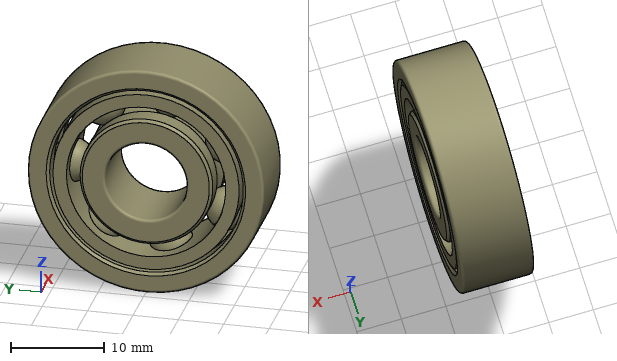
import cadquery as cq

outer_diameter = 26.0
bore_diameter = 9.0
width = 8.0

outer_ring_inner_radius = 10.65
inner_ring_outer_radius = 7.3
mounting_fillet = 0.3
shoulder_chamfer = 0.3

ball_count = 7
ball_radius = 2.4
pitch_radius = (outer_ring_inner_radius + inner_ring_outer_radius) / 2

cage_inner_radius = 8.75
cage_outer_radius = 10.25
cage_width = 7.8


def tube(outer_radius, inner_radius, length):
    """A hollow cylinder along X, centred on the origin."""
    return (
        cq.Workplane("YZ", origin=(-length / 2, 0, 0))
        .circle(outer_radius)
        .circle(inner_radius)
        .extrude(length)
    )


def raceway():
    """The torus that the balls sweep, which leaves a ball groove in a ring."""
    return cq.Workplane(cq.Solid.makeTorus(pitch_radius, ball_radius, dir=cq.Vector(1, 0, 0)))


def end_edges(ring, rank):
    """The two end edges of a ring: rank 0 lies on its bore, rank 1 on its outside."""
    return ring.faces("<X or >X").edges(cq.selectors.RadiusNthSelector(rank))


def make_outer_ring():
    """Rounded on the outside, chamfered towards the cage."""
    ring = tube(outer_diameter / 2, outer_ring_inner_radius, width)
    ring = end_edges(ring, 1).fillet(mounting_fillet)
    ring = end_edges(ring, 0).chamfer(shoulder_chamfer)
    return ring.cut(raceway())


def make_inner_ring():
    """Rounded at the bore, chamfered towards the cage."""
    ring = tube(inner_ring_outer_radius, bore_diameter / 2, width)
    ring = end_edges(ring, 0).fillet(mounting_fillet)
    ring = end_edges(ring, 1).chamfer(shoulder_chamfer)
    return ring.cut(raceway())


def make_ball(index):
    """One ball on the pitch circle; ball 0 sits on the +Y side."""
    radial_plane = cq.Plane(origin=(0, pitch_radius, 0), xDir=(-1, 0, 0), normal=(0, 1, 0))
    ball = cq.Workplane(radial_plane).sphere(ball_radius)
    return ball.rotate((0, 0, 0), (1, 0, 0), index * 360 / ball_count)


def make_cage(balls):
    """A plain ring with one spherical pocket for each ball."""
    cage = tube(cage_outer_radius, cage_inner_radius, cage_width)
    for ball in balls:
        cage = cage.cut(ball)
    return cage


outer_ring = make_outer_ring()
inner_ring = make_inner_ring()
balls = [make_ball(index) for index in range(ball_count)]
cage = make_cage(balls)

result = cq.Compound.makeCompound(
    [outer_ring.val(), inner_ring.val(), cage.val(), *[ball.val() for ball in balls]]
)